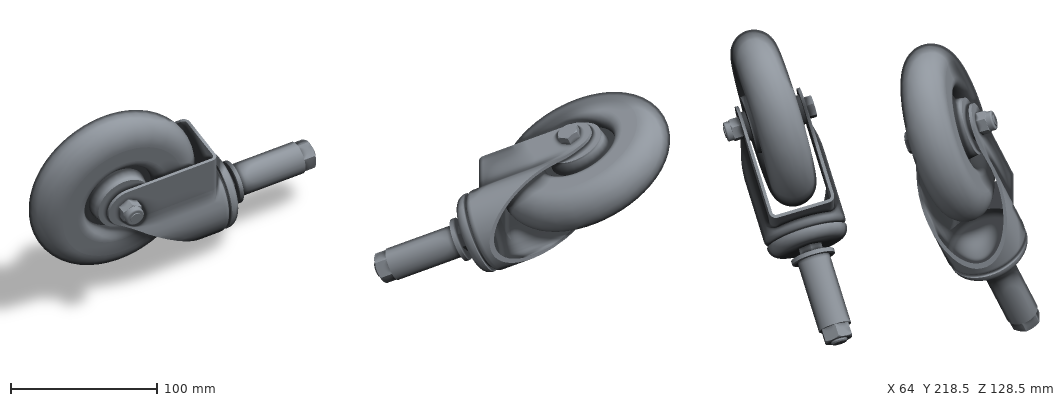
import cadquery as cq
import math


overall_length = 218.5

wheel_radius = 62.5
wheel_half_width = 16.0
recess_radius = 26.5
recess_lip = 8.5
hub_tip_radius = 20.0
hub_base_radius = 21.8
hub_half_length = 18.0
hub_land = 1.0

wall = 2.2
fork_half_width = 23.2
fork_end_radius = 14.9
fork_back = 70.8
fork_corner = 4.8
slope_back = 69.5
flare_radius = 21.8

swivel_z = -37.0
cup_radius = 29.0
cup_back = 77.3
cup_fillet = 4.4
cup_inner_fillet = 3.0
cap_radius = 28.5
cap_front = 78.5
cap_back = 85.9
cap_fillet = 7.0
bearing_radius = 25.1

axle_hex_flats = 14.0
bolt_head_end = 29.0
bolt_radius = 4.0
spacer_radius = 10.3
bolt_tip = 35.0
lock_nut_end = 30.2
lock_collar_radius = 6.8
lock_collar_end = 34.3
lock_collar_fillet = 1.0

neck_flats = 16.0
flange_front = 91.8
flange_radius = 15.3
sleeve_front = 94.6
sleeve_diameter = 23.0
stem_nut_flats = 18.8
stem_nut_front = 144.6
stem_nut_back = 154.0
stem_tip_radius = 6.0
stem_tip = overall_length - wheel_radius
stem_tip_chamfer = 0.9

hex_chamfer_angle = math.radians(30)


def disc_x(radius, start, end):
    """Cylinder on the axle between two X positions."""
    return cq.Workplane("YZ", origin=(start, 0, 0)).circle(radius).extrude(end - start)


def stem_plane(start):
    """Sketch plane square to the stem axis, facing +Y."""
    return cq.Workplane(cq.Plane(origin=(0, start, swivel_z), xDir=(0, 0, 1), normal=(0, 1, 0)))


def disc_y(radius, start, end):
    """Cylinder on the stem axis between two Y positions."""
    return stem_plane(start).circle(radius).extrude(end - start)


def hexagon(plane, flats, length):
    """Hexagonal prism whose far-end corners are turned down to the flats."""
    corner_radius = flats / math.sqrt(3)
    inset = corner_radius - flats / 2
    drop = inset * math.tan(hex_chamfer_angle)
    prism = plane.polygon(6, 2 * corner_radius).extrude(length)
    cylinder = plane.circle(corner_radius).extrude(length - drop)
    cone_taper = 90 - math.degrees(hex_chamfer_angle)
    cone = plane.workplane(offset=length - drop).circle(corner_radius).extrude(drop, taper=cone_taper)
    return prism.intersect(cylinder.union(cone))


def make_wheel():
    """Round-tread wheel with a lipped recess and a tapered hub on each side."""
    face_radius = wheel_radius - wheel_half_width
    lip_radius = recess_radius + recess_lip
    floor_x = wheel_half_width - recess_lip
    lip_mid = recess_lip * math.sqrt(0.5)
    land_x = hub_half_length - hub_land
    profile = (
        cq.Workplane("XY")
        .moveTo(-hub_half_length, 0)
        .lineTo(-hub_half_length, hub_tip_radius)
        .lineTo(-land_x, hub_tip_radius)
        .lineTo(-floor_x, hub_base_radius)
        .lineTo(-floor_x, recess_radius)
        .threePointArc((-floor_x - lip_mid, lip_radius - lip_mid), (-wheel_half_width, lip_radius))
        .lineTo(-wheel_half_width, face_radius)
        .threePointArc((0, wheel_radius), (wheel_half_width, face_radius))
        .lineTo(wheel_half_width, lip_radius)
        .threePointArc((floor_x + lip_mid, lip_radius - lip_mid), (floor_x, recess_radius))
        .lineTo(floor_x, hub_base_radius)
        .lineTo(land_x, hub_tip_radius)
        .lineTo(hub_half_length, hub_tip_radius)
        .lineTo(hub_half_length, 0)
        .close()
    )
    return profile.revolve(360, (0, 0, 0), (1, 0, 0))


def cheeks(inset, back, top, corner):
    """Flat cheeks that flare out to meet the swivel circle, extruded forward from a rounded back."""
    half_width = fork_half_width - inset
    radius = cup_radius - inset
    flare = flare_radius + inset
    flare_x = half_width + flare
    flare_rise = math.sqrt((radius + flare) ** 2 - flare_x**2)
    flare_z = swivel_z + flare_rise
    turn = math.atan2(flare_rise, flare_x)
    join_x = radius * math.cos(turn)
    join_z = swivel_z + radius * math.sin(turn)
    mid_x = flare_x - flare * math.cos(turn / 2)
    mid_z = flare_z - flare * math.sin(turn / 2)
    body = (
        cq.Workplane("XZ", origin=(0, back, 0))
        .moveTo(half_width, top)
        .lineTo(half_width, flare_z)
        .threePointArc((mid_x, mid_z), (join_x, join_z))
        .lineTo(-join_x, join_z)
        .threePointArc((-mid_x, mid_z), (-half_width, flare_z))
        .lineTo(-half_width, top)
        .close()
        .extrude(back + fork_end_radius)
    )
    return body.faces(">Y").edges("not #Z").fillet(corner)


def side_outline():
    """Slab that trims the fork to a round axle end and a sloping lower edge."""
    bottom = swivel_z - cup_radius
    span = math.hypot(slope_back, bottom)
    tangent = math.atan2(bottom, slope_back) - math.acos(fork_end_radius / span)
    return (
        cq.Workplane("YZ", origin=(-cup_radius, 0, 0))
        .moveTo(cup_back, fork_end_radius)
        .lineTo(0, fork_end_radius)
        .threePointArc(
            (-fork_end_radius, 0),
            (fork_end_radius * math.cos(tangent), fork_end_radius * math.sin(tangent)),
        )
        .lineTo(slope_back, bottom)
        .lineTo(cup_back, bottom)
        .close()
        .extrude(2 * cup_radius)
    )


def make_fork():
    """Sheet-metal fork: folded cheeks with a round cup at the back."""
    cup = disc_y(cup_radius, -fork_end_radius, cup_back).faces(">Y").edges().fillet(cup_fillet)
    cup_bore = disc_y(cup_radius - wall, -fork_end_radius, cup_back - wall)
    cup_bore = cup_bore.faces(">Y").edges().fillet(cup_inner_fillet)
    outer = cheeks(0, fork_back, fork_end_radius, fork_corner).union(cup)
    inner = cheeks(wall, fork_back - wall, fork_end_radius + wall, fork_corner - wall).union(cup_bore)
    return outer.cut(inner).intersect(side_outline())


def make_axle():
    """Hexagon bolt with spacers beside the hub and a lock nut on the +X side."""
    left_face = cq.Workplane(cq.Plane((-fork_half_width, 0, 0), (0, 0, 1), (-1, 0, 0)))
    right_face = cq.Workplane(cq.Plane((fork_half_width, 0, 0), (0, 0, 1), (1, 0, 0)))
    spacer_end = fork_half_width - wall
    collar = disc_x(lock_collar_radius, lock_nut_end, lock_collar_end)
    return (
        disc_x(bolt_radius, -fork_half_width, bolt_tip)
        .union(disc_x(spacer_radius, -spacer_end, spacer_end))
        .union(hexagon(left_face, axle_hex_flats, bolt_head_end - fork_half_width))
        .union(hexagon(right_face, axle_hex_flats, lock_nut_end - fork_half_width))
        .union(collar.faces(">X").edges().fillet(lock_collar_fillet))
    )


def make_stem():
    """Bearing cap, hexagonal neck, flange, sleeve, nut and bolt tip in a row along +Y."""
    cap = disc_y(cap_radius, cap_front, cap_back).faces(">Y").edges().fillet(cap_fillet)
    neck_corners = 2 * neck_flats / math.sqrt(3)
    neck = stem_plane(cap_back).polygon(6, neck_corners).extrude(flange_front - cap_back)
    tip = disc_y(stem_tip_radius, stem_nut_back, stem_tip)
    return (
        disc_y(bearing_radius, cup_back - wall / 2, cap_front)
        .union(cap)
        .union(neck)
        .union(disc_y(flange_radius, flange_front, sleeve_front))
        .union(disc_y(sleeve_diameter / 2, sleeve_front, stem_nut_front))
        .union(hexagon(stem_plane(stem_nut_front), stem_nut_flats, stem_nut_back - stem_nut_front))
        .union(tip.faces(">Y").edges().chamfer(stem_tip_chamfer))
    )


result = make_wheel().union(make_axle()).union(make_fork()).union(make_stem())